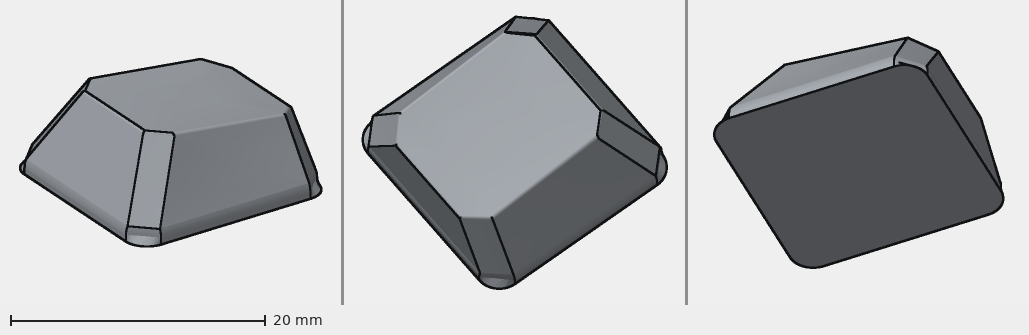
import cadquery as cq
import math

base_side = 18.16
corner_radius = 2.0
skirt_height = 0.6
shoulder_height = 1.3
back_shoulder_height = 1.09
shoulder_inset = 0.16
back_shoulder_inset = 0.09
shoulder_bulge = 0.027
rim_bulge = 0.04

dish_centre = (0, 1.45, 6.65)
half_side = base_side / 2
corner_start = half_side - corner_radius
shoulder_half = half_side - shoulder_inset
back_shoulder_y = half_side - back_shoulder_inset


def octagon(front, front_side, back_side, back):
    """Mirror four right-hand corner points into a counter-clockwise ring of eight."""
    right = [front, front_side, back_side, back]
    left = [(-x, y, z) for x, y, z in reversed(right)]
    return [cq.Vector(*point) for point in right + left]


def base_octagon(z):
    return octagon(
        (corner_start, -half_side, z),
        (half_side, -corner_start, z),
        (half_side, corner_start, z),
        (corner_start, half_side, z),
    )


base_ring = base_octagon(0)
skirt_ring = base_octagon(skirt_height)
shoulder_ring = octagon(
    (corner_start, -shoulder_half, shoulder_height),
    (shoulder_half, -corner_start, shoulder_height),
    (shoulder_half, corner_start, shoulder_height),
    (corner_start, back_shoulder_y, back_shoulder_height),
)
outer_rim = octagon(
    (4.29, -5.54, 7.3),
    (5.97, -3.7, 7.3),
    (6.0, 6.86, 6.03),
    (4.09, 8.68, 5.5),
)
inner_rim = octagon(
    (4.18, -5.28, 7.48),
    (5.7, -3.75, 7.48),
    (5.74, 6.83, 6.17),
    (4.05, 8.43, 5.67),
)


def base_edges():
    """Straight sides alternating with quarter-circle corners."""
    edges = []
    for i, start in enumerate(base_ring):
        end = base_ring[(i + 1) % len(base_ring)]
        is_corner = i % 2 == 0
        if is_corner:
            centre = cq.Vector(
                math.copysign(corner_start, start.x + end.x),
                math.copysign(corner_start, start.y + end.y),
            )
            outward = ((start + end) / 2 - centre).normalized()
            edges.append(cq.Edge.makeThreePointArc(start, centre + outward * corner_radius, end))
        else:
            edges.append(cq.Edge.makeLine(start, end))
    return edges


def ring_edges(ring):
    return [cq.Edge.makeLine(a, b) for a, b in zip(ring, ring[1:] + ring[:1])]


def profile_edge(low, high, bulge):
    """Rising edge between two rings, bowed outward and upward by bulge."""
    if bulge == 0:
        return cq.Edge.makeLine(low, high)
    run = math.hypot(high.x - low.x, high.y - low.y)
    rise = high.z - low.z
    outward = cq.Vector(low.x - high.x, low.y - high.y) * (rise / run) + cq.Vector(0, 0, run)
    middle = (low + high) / 2 + outward.normalized() * bulge
    return cq.Edge.makeThreePointArc(low, middle, high)


def band(lower, upper, bulge=0):
    """Eight wall faces joining two rings with straight horizontal rulings."""
    profiles = [profile_edge(a, b, bulge) for a, b in zip(lower, upper)]
    return [cq.Face.makeRuledSurface(a, b) for a, b in zip(profiles, profiles[1:] + profiles[:1])]


bottom_edges = base_edges()
faces = [cq.Face.makeFromWires(cq.Wire.assembleEdges(bottom_edges))]
faces += [cq.Face.makeRuledSurface(a, b) for a, b in zip(bottom_edges, ring_edges(skirt_ring))]
faces += band(skirt_ring, shoulder_ring, shoulder_bulge)
faces += band(shoulder_ring, outer_rim)
faces += band(outer_rim, inner_rim, rim_bulge)
faces.append(cq.Face.makeNSidedSurface(ring_edges(inner_rim), [cq.Vector(*dish_centre)], degree=2))

shell = cq.Shell.makeShell(faces)
result = cq.Workplane("XY").newObject([cq.Solid.makeSolid(shell).fix()])